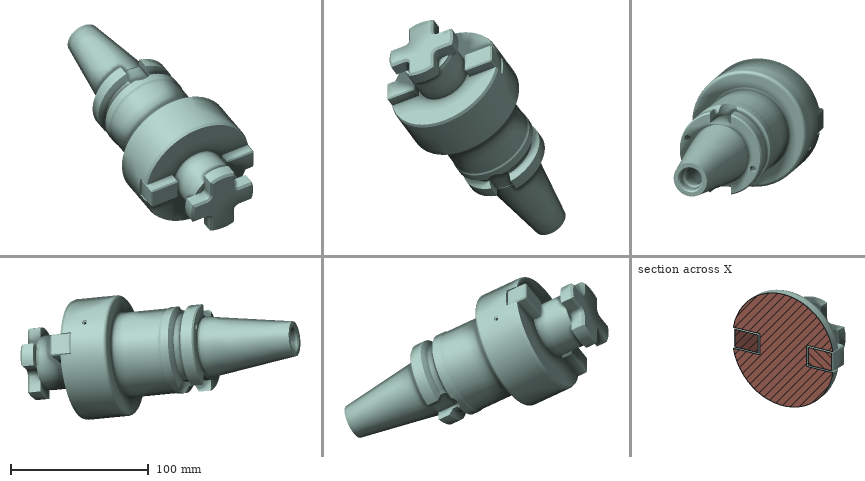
import cadquery as cq
import math

TOTAL_LENGTH = 202.5
TAPER_END = 65.5
FLANGE_START = 67.2
GROOVE_CENTER = 81.5
FLANGE_END = 92.3
BODY_START = 93.7
RING_START = 130.0
RING_END = 165.4
ARBOR_END = 192.3

TAPER_SMALL_R = 12.8
TAPER_LARGE_R = 22.3
NECK_R = 21.9

FLANGE_R = 31.5
FLANGE_CHAMFER = 1.0
GROOVE_FLOOR_R = 26.7
GROOVE_FLOOR_WIDTH = 4.3
GROOVE_WALL_ANGLE = 30.0
BODY_R = 31.0
BODY_FILLET = 1.5

RING_R = 44.02
RING_BACK_FILLET = 2.5
RING_FRONT_CHAMFER_LENGTH = 2.2
RING_FRONT_CHAMFER_DEPTH = 0.8
ARBOR_R = 20.0
UNDERCUT_WIDTH = 1.8
UNDERCUT_R = 19.6
ARBOR_CHAMFER_LENGTH = 1.8
ARBOR_CHAMFER_DEPTH = 0.5
ARBOR_TIP_LENGTH = 1.0

BORE_R = 8.5
BORE_DEPTH = 7.0
BORE_MOUTH_R = 9.5
THREAD_R = 6.9
THREAD_DEPTH = 32.4

KEYWAY_WIDTH = 16.2
KEYWAY_FLOOR = 22.5
KEYWAY_END = 88.9

DIAGONAL_ANGLE = 20.0
COOLANT_R = 2.5
COOLANT_PITCH_R = 26.7
COOLANT_TILT = 15.0
COOLANT_DEPTH = 24.3
PLUG_X = 147.1
PLUG_R = 2.0
PLUG_LENGTH = 6.0
PLUG_RECESS = 0.8
SOCKET_ACROSS_FLATS = 2.0
SOCKET_DEPTH = 2.0

KEY_WIDTH = 16.2
KEY_START = 157.0
KEY_END = 173.3
KEY_INNER_R = 20.5
KEY_OUTER_R = 43.0
KEY_CHAMFER = 1.0

HEAD_R = 26.1
Y_LOBE_WIDTH = 16.5
Z_LOBE_WIDTH = 20.2
LOBE_FILLET = 3.6
HEAD_CHAMFER = 1.6

X_AXIS = ((0, 0, 0), (1, 0, 0))


def copies_about_x(shape, count, first_angle=0.0):
    """Copies of a shape spaced evenly about the X axis."""
    step = 360.0 / count
    return [shape.rotate(*X_AXIS, first_angle + i * step) for i in range(count)]


def holder_profile():
    """Half section of the holder, radius plotted over X."""
    groove_half_floor = GROOVE_FLOOR_WIDTH / 2
    groove_run = (FLANGE_R - GROOVE_FLOOR_R) * math.tan(math.radians(GROOVE_WALL_ANGLE))
    groove_half_mouth = groove_half_floor + groove_run
    fillet_mid = BODY_FILLET * (1 - math.sqrt(0.5))
    ring_mid = RING_BACK_FILLET * (1 - math.sqrt(0.5))
    arbor_cone_end = ARBOR_END - ARBOR_TIP_LENGTH
    tip_r = ARBOR_R - ARBOR_CHAMFER_DEPTH
    return (
        cq.Workplane("XZ")
        .moveTo(0, 0)
        .lineTo(0, TAPER_SMALL_R)
        .lineTo(TAPER_END, TAPER_LARGE_R)
        .lineTo(TAPER_END, NECK_R)
        .lineTo(FLANGE_START, NECK_R)
        .lineTo(FLANGE_START, FLANGE_R - FLANGE_CHAMFER)
        .lineTo(FLANGE_START + FLANGE_CHAMFER, FLANGE_R)
        .lineTo(GROOVE_CENTER - groove_half_mouth, FLANGE_R)
        .lineTo(GROOVE_CENTER - groove_half_floor, GROOVE_FLOOR_R)
        .lineTo(GROOVE_CENTER + groove_half_floor, GROOVE_FLOOR_R)
        .lineTo(GROOVE_CENTER + groove_half_mouth, FLANGE_R)
        .lineTo(FLANGE_END, FLANGE_R)
        .lineTo(BODY_START, BODY_R)
        .lineTo(RING_START - BODY_FILLET, BODY_R)
        .threePointArc(
            (RING_START - fillet_mid, BODY_R + fillet_mid),
            (RING_START, BODY_R + BODY_FILLET),
        )
        .lineTo(RING_START, RING_R - RING_BACK_FILLET)
        .threePointArc(
            (RING_START + ring_mid, RING_R - ring_mid),
            (RING_START + RING_BACK_FILLET, RING_R),
        )
        .lineTo(RING_END - RING_FRONT_CHAMFER_LENGTH, RING_R)
        .lineTo(RING_END, RING_R - RING_FRONT_CHAMFER_DEPTH)
        .lineTo(RING_END, UNDERCUT_R)
        .lineTo(RING_END + UNDERCUT_WIDTH, UNDERCUT_R)
        .lineTo(RING_END + UNDERCUT_WIDTH, ARBOR_R)
        .lineTo(arbor_cone_end - ARBOR_CHAMFER_LENGTH, ARBOR_R)
        .lineTo(arbor_cone_end, tip_r)
        .lineTo(ARBOR_END, tip_r)
        .lineTo(ARBOR_END, 0)
        .close()
    )


def shank_bore():
    """Stepped blind bore with a chamfered mouth."""
    mouth = BORE_MOUTH_R - BORE_R
    thread_lead = BORE_R - THREAD_R
    profile = (
        cq.Workplane("XZ")
        .moveTo(0, 0)
        .lineTo(0, BORE_MOUTH_R)
        .lineTo(mouth, BORE_R)
        .lineTo(BORE_DEPTH, BORE_R)
        .lineTo(BORE_DEPTH + thread_lead, THREAD_R)
        .lineTo(THREAD_DEPTH, THREAD_R)
        .lineTo(THREAD_DEPTH, 0)
        .close()
    )
    return profile.revolve(360, *X_AXIS)


def keyway():
    """Round-ended slot through the front of the flange on the +Z side."""
    end_center = KEYWAY_END - KEYWAY_WIDTH / 2
    height = RING_R - KEYWAY_FLOOR
    slot = (
        cq.Workplane("XY", origin=(0, 0, KEYWAY_FLOOR))
        .moveTo(TAPER_END, -KEYWAY_WIDTH / 2)
        .lineTo(end_center, -KEYWAY_WIDTH / 2)
        .threePointArc((KEYWAY_END, 0), (end_center, KEYWAY_WIDTH / 2))
        .lineTo(TAPER_END, KEYWAY_WIDTH / 2)
        .close()
    )
    return slot.extrude(height)


def coolant_hole():
    """Blind hole from the flange face on the +Y side, sloping toward the axis."""
    tilt = math.radians(COOLANT_TILT)
    direction = cq.Vector(math.cos(tilt), -math.sin(tilt), 0)
    entry = cq.Vector(FLANGE_START, COOLANT_PITCH_R, 0)
    lead_in = COOLANT_R * 2
    start = entry - direction * lead_in
    return cq.Workplane(cq.Solid.makeCylinder(COOLANT_R, COOLANT_DEPTH + lead_in, start, direction))


def plug_hole():
    """Radial blind hole into the ring from the +Y side."""
    depth = PLUG_LENGTH + PLUG_RECESS
    floor_y = RING_R - depth
    return cq.Workplane("XZ", origin=(PLUG_X, floor_y, 0)).circle(PLUG_R).extrude(-2 * depth)


def make_key():
    """Chamfered rectangular drive key on the +Y side of the ring."""
    return (
        cq.Workplane("XY")
        .box(KEY_END - KEY_START, KEY_OUTER_R - KEY_INNER_R, KEY_WIDTH)
        .edges()
        .chamfer(KEY_CHAMFER)
        .translate(((KEY_START + KEY_END) / 2, (KEY_INNER_R + KEY_OUTER_R) / 2, 0))
    )


def key_slot():
    """Slot for a drive key, open at the ring's rim and end face."""
    length = RING_END - KEY_START
    depth = RING_R - KEY_INNER_R
    return (
        cq.Workplane("XY")
        .box(length, depth, KEY_WIDTH)
        .translate((KEY_START + length / 2, KEY_INNER_R + depth / 2, 0))
    )


def make_plug():
    """Socket set screw seated just below the ring's surface on the +Y side."""
    top_y = RING_R - PLUG_RECESS
    socket_diameter = SOCKET_ACROSS_FLATS / math.cos(math.pi / 6)
    plug = cq.Workplane("XZ", origin=(PLUG_X, top_y, 0)).circle(PLUG_R).extrude(PLUG_LENGTH)
    socket = cq.Workplane("XZ", origin=(PLUG_X, top_y, 0)).polygon(6, socket_diameter).extrude(SOCKET_DEPTH)
    return plug.cut(socket)


def make_holder():
    """Taper shank, flange, body, ring and arbor in one piece, with all its openings."""
    holder = holder_profile().revolve(360, *X_AXIS).cut(shank_bore())
    cutters = copies_about_x(keyway(), 2)
    cutters += copies_about_x(coolant_hole(), 2, DIAGONAL_ANGLE)
    cutters += copies_about_x(plug_hole(), 2, DIAGONAL_ANGLE)
    cutters += copies_about_x(key_slot(), 2)
    for cutter in cutters:
        holder = holder.cut(cutter)
    return holder


def make_clamp_screw():
    """Four-lobed screw head seated on the end of the arbor."""
    thickness = TOTAL_LENGTH - ARBOR_END
    plane = cq.Workplane("YZ", origin=(ARBOR_END, 0, 0))
    y_bar = plane.rect(2 * HEAD_R + LOBE_FILLET, Y_LOBE_WIDTH).extrude(thickness)
    z_bar = plane.rect(Z_LOBE_WIDTH, 2 * HEAD_R + LOBE_FILLET).extrude(thickness)
    cross = y_bar.union(z_bar)
    reach = (Y_LOBE_WIDTH + Z_LOBE_WIDTH) / 2
    inner_corners = cq.selectors.BoxSelector((0, -reach, -reach), (2 * TOTAL_LENGTH, reach, reach))
    cross = cross.edges("|X").edges(inner_corners).fillet(LOBE_FILLET)
    head = cross.intersect(plane.circle(HEAD_R).extrude(thickness))
    return head.faces(">X").edges().chamfer(HEAD_CHAMFER)


holder = make_holder()
clamp_screw = make_clamp_screw()
keys = copies_about_x(make_key(), 2)
plugs = copies_about_x(make_plug(), 2, DIAGONAL_ANGLE)

result = cq.Compound.makeCompound(
    [holder.val(), clamp_screw.val(), *[key.val() for key in keys], *[plug.val() for plug in plugs]]
)